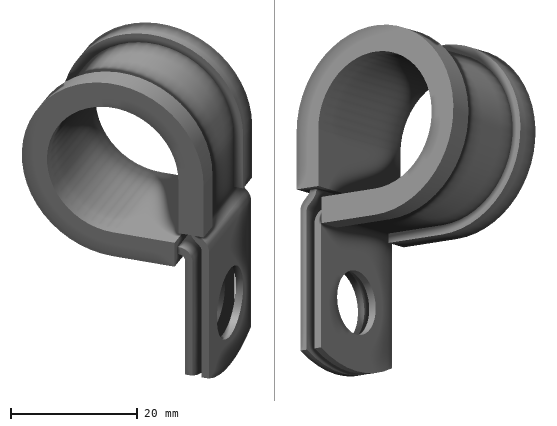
import cadquery as cq
import math

cushion_width = 22.1
cushion_outer_radius = 15.4
cushion_thickness = 4.25
down_leg_length = 9.25
side_leg_length = 10.5
rim_width = 4.05

strap_width = 19.1
strap_thickness = 1.25
strap_outer_radius = 13.85
bend_inner_radius = 1.0
tab_outer_face_x = 15.75
tab_gap = 1.55
tab_bottom_z = cushion_outer_radius - 52.65
tab_tip_height = 2.15
inner_hole_diameter = 10.4
outer_hole_diameter = 11.95
hole_z = -26.2

cushion_inner_radius = cushion_outer_radius - cushion_thickness
groove_width = cushion_width - 2 * rim_width
strap_mid_radius = strap_outer_radius - strap_thickness / 2
bend_mid_radius = bend_inner_radius + strap_thickness / 2
outer_tab_x = tab_outer_face_x - strap_thickness / 2
inner_tab_x = outer_tab_x - strap_thickness - tab_gap
diagonal = math.sqrt(0.5)


def extrude_centred(profile, width):
    """Extrude an XZ profile symmetrically about Y = 0."""
    return profile.extrude(width / 2, both=True)


def loop_band(inner_radius, outer_radius, width):
    """Loop with one leg pointing down and one pointing to +X."""
    profile = (
        cq.Workplane("XZ")
        .moveTo(side_leg_length, -outer_radius)
        .lineTo(0, -outer_radius)
        .threePointArc((-outer_radius * diagonal, outer_radius * diagonal), (outer_radius, 0))
        .lineTo(outer_radius, -down_leg_length)
        .lineTo(inner_radius, -down_leg_length)
        .lineTo(inner_radius, 0)
        .threePointArc((-inner_radius * diagonal, inner_radius * diagonal), (0, -inner_radius))
        .lineTo(side_leg_length, -inner_radius)
        .close()
    )
    return extrude_centred(profile, width)


def make_cushion():
    """Loop whose middle is recessed down to the strap between two rims."""
    body = loop_band(cushion_inner_radius, cushion_outer_radius, cushion_width)
    groove = loop_band(strap_outer_radius, cushion_outer_radius, groove_width)
    return body.cut(groove)


def make_strap():
    """Rectangular section swept from the inner tab round the loop to the outer tab."""
    bend_side = bend_mid_radius * (1 - diagonal)
    bend_drop = bend_mid_radius * diagonal
    jog_straight = outer_tab_x - strap_mid_radius - 2 * bend_side
    jog_x = strap_mid_radius + bend_side
    jog_z = -down_leg_length - bend_drop
    path = (
        cq.Workplane("XZ")
        .moveTo(inner_tab_x, tab_bottom_z)
        .lineTo(inner_tab_x, -strap_mid_radius - bend_mid_radius)
        .tangentArcPoint((inner_tab_x - bend_mid_radius, -strap_mid_radius), relative=False)
        .lineTo(0, -strap_mid_radius)
        .tangentArcPoint((strap_mid_radius, 0), relative=False)
        .lineTo(strap_mid_radius, -down_leg_length)
        .tangentArcPoint((jog_x, jog_z), relative=False)
        .lineTo(jog_x + jog_straight, jog_z - jog_straight)
        .tangentArcPoint((outer_tab_x, jog_z - jog_straight - bend_drop), relative=False)
        .lineTo(outer_tab_x, tab_bottom_z)
    )
    section = (
        cq.Workplane("XY", origin=(inner_tab_x, 0, tab_bottom_z))
        .rect(strap_thickness, strap_width)
    )
    return section.sweep(path)


def make_tab_envelope():
    """Strap-wide block along X with an arched lower end, used to round both tabs."""
    half_width = strap_width / 2
    shoulder_z = tab_bottom_z + tab_tip_height
    return (
        cq.Workplane("YZ")
        .moveTo(-half_width, cushion_outer_radius)
        .lineTo(-half_width, shoulder_z)
        .threePointArc((0, tab_bottom_z), (half_width, shoulder_z))
        .lineTo(half_width, cushion_outer_radius)
        .close()
        .extrude(2 * cushion_outer_radius, both=True)
    )


def make_bolt_hole(tab_x, diameter):
    """Cylinder along X passing through the tab centred on tab_x only."""
    return (
        cq.Workplane("YZ", origin=(tab_x - strap_thickness, 0, hole_z))
        .circle(diameter / 2)
        .extrude(2 * strap_thickness)
    )


strap = make_strap().intersect(make_tab_envelope())
strap = strap.cut(make_bolt_hole(inner_tab_x, inner_hole_diameter))
strap = strap.cut(make_bolt_hole(outer_tab_x, outer_hole_diameter))
result = make_cushion().union(strap)